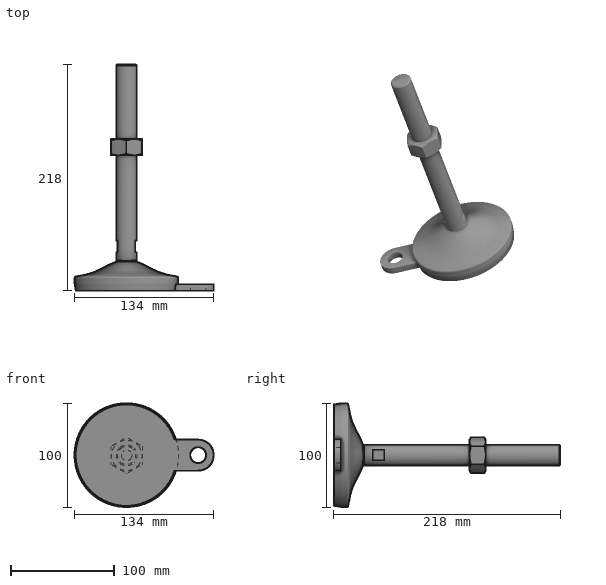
import cadquery as cq
import math

total_length = 218.0

foot_radius = 100.0 / 2
underside_radius = foot_radius - 1.3
taper_height = 7.5
rim_height = 12.0
dome_start_height = 14.0
dome_start_radius = 48.6
dome_top_height = 28.1
dome_top_radius = 10.0
dome_mid_points = [(38.5, 16.0), (28.8, 19.2), (18.0, 24.6)]

tab_thickness = 6.5
tab_radius = 15.0
tab_hole_diameter = 15.0
tab_reach = 134.0 - foot_radius
tab_hole_x = tab_reach - tab_radius

stem_diameter = 20.0
stem_start = 29.2
stem_chamfer = 1.3
neck_diameter = 10.0
flats_width = 17.5
flats_start = 37.3
flats_length = 11.1

nut_width = 30.0
nut_start = 130.4
nut_height = 16.0
nut_face_diameter = 29.2
nut_chamfer_angle = 30


def cylinder(diameter, start, length):
    """Cylinder around the stem axis, growing toward +Y from the given height."""
    plane = cq.Workplane("XZ", origin=(0, start, 0))
    return plane.circle(diameter / 2).extrude(-length)


def make_foot():
    """Tapered round base with a rounded rim and a bell-shaped top."""
    rim_rise = dome_start_height - rim_height
    rim_inset = foot_radius - dome_start_radius
    bulge = math.sqrt(0.5)
    rim_middle = (dome_start_radius + rim_inset * bulge, rim_height + rim_rise * bulge)
    return (
        cq.Workplane("XY")
        .lineTo(underside_radius, 0)
        .lineTo(foot_radius, taper_height)
        .lineTo(foot_radius, rim_height)
        .threePointArc(rim_middle, (dome_start_radius, dome_start_height))
        .spline(dome_mid_points + [(dome_top_radius, dome_top_height)], includeCurrent=True)
        .lineTo(0, dome_top_height)
        .close()
        .revolve(360, (0, 0, 0), (0, 1, 0))
    )


def make_tab():
    """Flat lug with a rounded, drilled end."""
    lug = (
        cq.Workplane("XZ")
        .moveTo(0, -tab_radius)
        .lineTo(tab_hole_x, -tab_radius)
        .threePointArc((tab_reach, 0), (tab_hole_x, tab_radius))
        .lineTo(0, tab_radius)
        .close()
        .extrude(-tab_thickness)
    )
    hole = cq.Workplane("XZ").center(tab_hole_x, 0).circle(tab_hole_diameter / 2)
    return lug.cut(hole.extrude(-tab_thickness))


def make_stem():
    """Round stem with a chamfered end and two wrench flats."""
    stem = cylinder(stem_diameter, stem_start, total_length - stem_start)
    stem = stem.faces(">Y").chamfer(stem_chamfer)
    flats_middle = flats_start + flats_length / 2
    for side in (-1, 1):
        cutter_x = side * (flats_width + stem_diameter) / 2
        cutter = cq.Workplane("XY").box(stem_diameter, flats_length, stem_diameter)
        stem = stem.cut(cutter.translate((cutter_x, flats_middle, 0)))
    return stem


def make_nut():
    """Hexagon nut with corners toward +Z and -Z and both faces chamfered."""
    corner_radius = nut_width / math.sqrt(3)
    face_radius = nut_face_diameter / 2
    chamfer_height = (corner_radius - face_radius) * math.tan(math.radians(nut_chamfer_angle))
    nut_end = nut_start + nut_height
    hexagon = (
        cq.Workplane("XZ", origin=(0, nut_start, 0))
        .transformed(rotate=(0, 0, 90))
        .polygon(6, 2 * corner_radius)
        .extrude(-nut_height)
    )
    chamfer_envelope = (
        cq.Workplane("XY")
        .moveTo(0, nut_start)
        .lineTo(face_radius, nut_start)
        .lineTo(corner_radius, nut_start + chamfer_height)
        .lineTo(corner_radius, nut_end - chamfer_height)
        .lineTo(face_radius, nut_end)
        .lineTo(0, nut_end)
        .close()
        .revolve(360, (0, 0, 0), (0, 1, 0))
    )
    return hexagon.intersect(chamfer_envelope)


neck = cylinder(neck_diameter, taper_height, stem_start - taper_height)
result = make_foot().union(make_tab()).union(neck).union(make_stem()).union(make_nut())